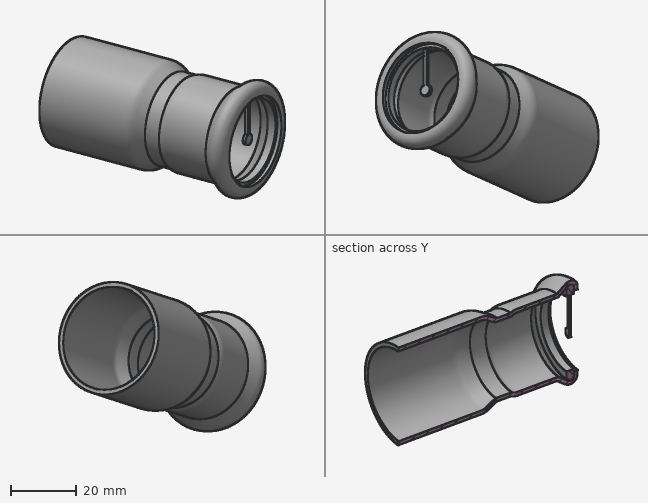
import cadquery as cq
import math

LENGTH = 68.0
WALL = 1.5
SPIGOT_RADIUS = 35.0 / 2
NECK_RADIUS = 30.0 / 2
SOCKET_RADIUS = 31.3 / 2
BEAD_RADIUS = 37.2 / 2
LIP_RADIUS = 28.8 / 2

SPIGOT_END = 31.5
NECK_END = 42.4
SOCKET_START = 45.0
SOCKET_END = 60.05

SHOULDER_BEND = 5.3
SHOULDER_ANGLE = math.radians(30)

SEAL_BORE_RADIUS = 13.4
DISC_RADIUS = 1.8
STEM_WIDTH = 1.1
TAB_THICKNESS = 1.1

spigot_bore = SPIGOT_RADIUS - WALL
neck_bore = NECK_RADIUS - WALL
socket_bore = SOCKET_RADIUS - WALL
shoulder_center_r = SPIGOT_RADIUS - SHOULDER_BEND
shoulder_end_r = shoulder_center_r + SHOULDER_BEND * math.cos(SHOULDER_ANGLE)
neck_start = (SPIGOT_END + SHOULDER_BEND * math.sin(SHOULDER_ANGLE)
              + (shoulder_end_r - NECK_RADIUS) / math.tan(SHOULDER_ANGLE))
neck_bore_start = neck_start - WALL * math.tan(SHOULDER_ANGLE / 2)

step_length = SOCKET_START - NECK_END
step_height = SOCKET_RADIUS - NECK_RADIUS
step_bend = (step_length**2 + step_height**2) / (2 * step_height)
step_center_r = SOCKET_RADIUS - step_bend
step_bore_bend = step_bend - WALL
step_bore_length = math.sqrt(step_bore_bend**2 - (neck_bore - step_center_r)**2)
neck_bore_end = SOCKET_START - step_bore_length

bead_bend = BEAD_RADIUS - SOCKET_RADIUS
bead_center_x = LENGTH - bead_bend
flare_angle = math.asin(bead_bend / (bead_center_x - SOCKET_END))
flare_bore_start = SOCKET_END + WALL * math.tan(flare_angle / 2)


def arc_point(center_x, center_r, bend, lean):
    """Point on an arc, at an angle from the radial direction toward +X."""
    return (center_x + bend * math.sin(lean), center_r + bend * math.cos(lean))


def shoulder_point(bend, lean):
    return arc_point(SPIGOT_END, shoulder_center_r, bend, lean)


def step_point(bend, lean):
    return arc_point(SOCKET_START, step_center_r, bend, lean)


def bead_point(bend, lean):
    return arc_point(bead_center_x, SOCKET_RADIUS, bend, lean)


def make_fitting():
    """Revolve the half section: outer wall toward +X, then bore back toward the spigot."""
    shoulder_bore_bend = SHOULDER_BEND - WALL
    bead_bore_bend = bead_bend - WALL
    step_lean = -math.asin(step_length / step_bend)
    step_bore_lean = -math.asin(step_bore_length / step_bore_bend)
    section = (
        cq.Workplane("XY")
        .moveTo(0, spigot_bore)
        .lineTo(0, SPIGOT_RADIUS)
        .lineTo(SPIGOT_END, SPIGOT_RADIUS)
        .threePointArc(shoulder_point(SHOULDER_BEND, SHOULDER_ANGLE / 2),
                       shoulder_point(SHOULDER_BEND, SHOULDER_ANGLE))
        .lineTo(neck_start, NECK_RADIUS)
        .lineTo(NECK_END, NECK_RADIUS)
        .threePointArc(step_point(step_bend, step_lean / 2), (SOCKET_START, SOCKET_RADIUS))
        .lineTo(SOCKET_END, SOCKET_RADIUS)
        .lineTo(*bead_point(bead_bend, -flare_angle))
        .threePointArc(bead_point(bead_bend, math.pi / 4), (LENGTH, SOCKET_RADIUS))
        .lineTo(LENGTH, LIP_RADIUS)
        .lineTo(LENGTH - WALL, LIP_RADIUS)
        .lineTo(LENGTH - WALL, SOCKET_RADIUS)
        .threePointArc(bead_point(bead_bore_bend, math.pi / 4),
                       bead_point(bead_bore_bend, -flare_angle))
        .lineTo(flare_bore_start, socket_bore)
        .lineTo(SOCKET_START, socket_bore)
        .threePointArc(step_point(step_bore_bend, step_bore_lean / 2), (neck_bore_end, neck_bore))
        .lineTo(neck_bore_start, neck_bore)
        .lineTo(*shoulder_point(shoulder_bore_bend, SHOULDER_ANGLE))
        .threePointArc(shoulder_point(shoulder_bore_bend, SHOULDER_ANGLE / 2),
                       (SPIGOT_END, spigot_bore))
        .close()
    )
    return section.revolve(360, (0, 0, 0), (1, 0, 0))


def make_seal():
    """Ring seated in the bead, with a stem reaching down from its top to a disc on the axis."""
    seal_bend = bead_bend - WALL
    ring = (
        cq.Workplane("XY")
        .moveTo(bead_center_x - seal_bend, SEAL_BORE_RADIUS)
        .lineTo(bead_center_x - seal_bend, SOCKET_RADIUS)
        .threePointArc(bead_point(seal_bend, 0), (bead_center_x + seal_bend, SOCKET_RADIUS))
        .lineTo(bead_center_x + seal_bend, SEAL_BORE_RADIUS)
        .close()
        .revolve(360, (0, 0, 0), (1, 0, 0))
    )
    plane = cq.Workplane("YZ", origin=(bead_center_x - TAB_THICKNESS / 2, 0, 0))
    disc = plane.circle(DISC_RADIUS).extrude(TAB_THICKNESS)
    stem_top = (SEAL_BORE_RADIUS + SOCKET_RADIUS) / 2
    stem = plane.center(0, stem_top / 2).rect(STEM_WIDTH, stem_top).extrude(TAB_THICKNESS)
    return ring.union(stem).union(disc)


fitting = make_fitting()
seal = make_seal()

result = cq.Compound.makeCompound([fitting.val(), seal.solids().val()])